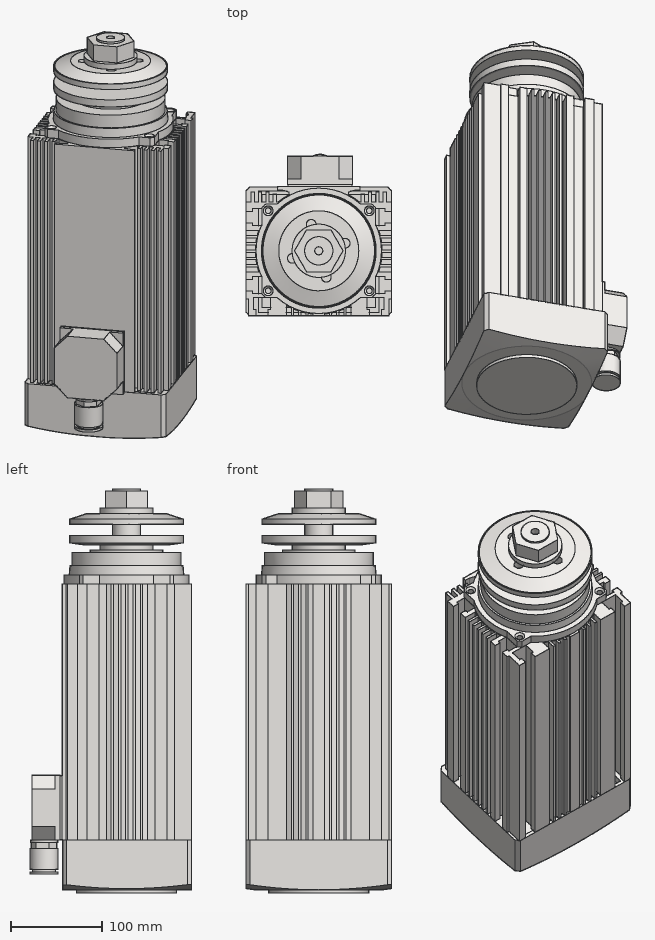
import cadquery as cq
import math


cover_top = 58.5
housing_top = 339.3
spindle_top = 443.5

cover_width = 160.0
cover_half_width = cover_width / 2
front_y = -71.5
cover_back_y = 70.0
cover_chamfer = 4.5
dome_radius = 523.5
dome_apex_z = -1.1
dome_flat_z = 3.75
foot_radius = 55.0
recess_half_width = 66.0
recess_front_y = -67.5
recess_back_y = 65.5
recess_depth = 9.0
cavity_half_width = 62.0
cavity_front_y = -62.0
cavity_back_y = 61.5
cavity_depth = 35.5

housing_half_width = 80.0
corner_half_width = 77.0
corner_step_y = -52.8
fin_base_y = 53.5
rib_floor_radius = 69.5
groove_width = 5.5
rib_pitch = 8.0
side_groove_count = 6
side_middle_y = -0.5
front_groove_count = 4
front_groove_first_x = 35.5
fin_count = 4
fin_width = 3.5
fin_first_x = 72.5
fin_tip_y = 64.8
inner_fin_tip_y = 62.0
land_half_width = 45.2
land_back_y = 70.5
land_edge_y = 66.5
land_slope_start_x = 40.0
land_web_half_width = 32.5
land_web_y = 64.5

side_slot_offset = 37.3
side_slot_mouth = 13.0
side_slot_cavity = 18.5
side_slot_lip_x = 72.7
side_slot_floor_x = 62.0
front_slot_middle_x = 62.0
front_slot_mouth = 13.5
front_slot_cavity = 18.5
front_slot_lip_y = -64.5
front_slot_floor_y = -51.5

flange_radius = 68.7
flange_top = 349.0
lug_half_width = 62.0
lug_half_depth = 51.5
lug_chamfer = 4.0
seat_base_radius = 63.0
seat_radius = 62.0
seat_top = 359.2
cap_radius = 60.0
cap_top = 374.0
boss_radius = 40.0
shield_top = 376.5
screw_hole_x = 55.5
screw_hole_y = 44.0
screw_hole_radius = 3.0
screw_sink_radius = 5.5
screw_sink_angle = 90

spindle_radius = 15.5
spindle_center_radius = 4.5
spindle_center_depth = 9.0
disc_radius = 62.5
disc_cone_radius = 61.0
hub_radius = 29.3
lower_cone_bottom = 382.0
lower_cone_top = 384.0
lower_disc_top = 392.5
lower_cone_radius = 46.0
upper_disc_bottom = 404.5
upper_cone_bottom = 410.5
upper_disc_top = 416.5
upper_cone_radius = 44.0
pin_hole_count = 4
pin_hole_circle = 30.0
pin_hole_radius = 5.5
pin_hole_angle = 16.0
nut_hex_bottom = 422.5
nut_top = 441.5
nut_across_flats = 46.0

box_middle_x = 1.5
box_width = 71.5
box_bottom = 58.0
box_inner_y = 72.7
box_step_y = 78.5
box_outer_y = 104.0
box_chamfer = 15.0
gasket_inset = 0.5

gland_y = 90.5
gland_radius = 15.5
gland_flange_radius = 15.0
gland_flange_bottom = 56.0
gland_hex_bottom = 49.2
gland_hex_radius = 14.0
gland_hex_turn = 23.0
gland_groove_top = 26.0
gland_groove_bottom = 23.5
gland_groove_radius = 13.0
gland_bottom = 21.0

SIDES = (-1, 1)


def block(x0, x1, y0, y1, z0, z1):
    """Box between two corners."""
    return cq.Workplane("XY").box(x1 - x0, y1 - y0, z1 - z0, centered=False).translate((x0, y0, z0))


def cylinder(radius, z0, z1):
    """Cylinder on the Z axis between two heights."""
    return cq.Workplane("XY").workplane(offset=z0).circle(radius).extrude(z1 - z0)


def turned(points):
    """Solid of revolution about Z from (radius, height) points."""
    return cq.Workplane("XZ").polyline(points).close().revolve(360, (0, 0, 0), (0, 1, 0))


def hexagon(corner_radius, z0, z1):
    """Hexagonal prism on the Z axis with two corners on the X axis."""
    return cq.Workplane("XY").workplane(offset=z0).polygon(6, 2 * corner_radius).extrude(z1 - z0)


def full_height(x0, x1, y0, y1):
    """Bar that runs the full height of the housing, with its X limits in either order."""
    return block(min(x0, x1), max(x0, x1), y0, y1, cover_top, housing_top)


def make_cover():
    shell = block(-cover_half_width, cover_half_width, front_y, cover_back_y, dome_flat_z, cover_top)
    shell = shell.edges("|Z").chamfer(cover_chamfer)

    dome = cq.Workplane("XY").sphere(dome_radius).translate((0, 0, dome_apex_z + dome_radius))
    shell = shell.intersect(dome)
    shell = shell.union(cylinder(foot_radius, 0, dome_flat_z))

    recess = block(
        -recess_half_width, recess_half_width, recess_front_y, recess_back_y,
        cover_top - recess_depth, cover_top,
    )
    cavity = block(
        -cavity_half_width, cavity_half_width, cavity_front_y, cavity_back_y,
        cover_top - cavity_depth, cover_top,
    )
    return shell.cut(recess).cut(cavity)


def make_land():
    """Mounting rail for the terminal box along the back of the housing."""
    right_edge = [
        (land_web_half_width, 0),
        (land_web_half_width, land_web_y),
        (land_slope_start_x, land_edge_y),
        (land_half_width, land_edge_y),
        (land_half_width, land_back_y),
    ]
    left_edge = [(-x, y) for x, y in reversed(right_edge)]
    outline = cq.Workplane("XY").workplane(offset=cover_top).polyline(right_edge + left_edge).close()
    return outline.extrude(housing_top - cover_top)


def make_grooves():
    """Cooling grooves of both sides and the front, with floors on a common cylinder."""
    first_y = side_middle_y - rib_pitch * (side_groove_count - 1) / 2 - groove_width / 2
    grooves = cq.Workplane("XY")
    for side in SIDES:
        for i in range(side_groove_count):
            y0 = first_y + i * rib_pitch
            y1 = y0 + groove_width
            grooves = grooves.add(full_height(side * fin_base_y, side * housing_half_width, y0, y1))
        for i in range(front_groove_count):
            outer_x = front_groove_first_x - i * rib_pitch
            inner_x = outer_x - groove_width
            grooves = grooves.add(full_height(side * outer_x, side * inner_x, front_y, -fin_base_y))
    return grooves.combine().cut(cylinder(rib_floor_radius, cover_top, housing_top))


def make_t_slots():
    """T-slots: two in each side and two in the front."""
    slots = cq.Workplane("XY")
    for side in SIDES:
        for end in SIDES:
            middle_y = side_middle_y + end * side_slot_offset
            slots = slots.add(full_height(
                side * side_slot_floor_x, side * housing_half_width,
                middle_y - side_slot_mouth / 2, middle_y + side_slot_mouth / 2,
            ))
            slots = slots.add(full_height(
                side * side_slot_floor_x, side * side_slot_lip_x,
                middle_y - side_slot_cavity / 2, middle_y + side_slot_cavity / 2,
            ))
        middle_x = side * front_slot_middle_x
        slots = slots.add(full_height(
            middle_x - front_slot_mouth / 2, middle_x + front_slot_mouth / 2, front_y, front_slot_floor_y,
        ))
        slots = slots.add(full_height(
            middle_x - front_slot_cavity / 2, middle_x + front_slot_cavity / 2,
            front_slot_lip_y, front_slot_floor_y,
        ))
    return slots.combine()


def make_housing():
    wide_part = full_height(-housing_half_width, housing_half_width, corner_step_y, fin_base_y)
    front_part = full_height(-corner_half_width, corner_half_width, front_y, corner_step_y)
    round_back = cylinder(rib_floor_radius, cover_top, housing_top).intersect(
        full_height(-rib_floor_radius, rib_floor_radius, 0, fin_tip_y)
    )
    housing = wide_part.union(front_part).union(round_back).union(make_land())
    for side in SIDES:
        for i in range(fin_count):
            middle_x = side * (fin_first_x - i * rib_pitch)
            tip_y = inner_fin_tip_y if i == fin_count - 1 else fin_tip_y
            housing = housing.union(full_height(
                middle_x - fin_width / 2, middle_x + fin_width / 2, fin_base_y - fin_width, tip_y,
            ))
    return housing.cut(make_grooves()).cut(make_t_slots())


def make_shield():
    lugs = block(-lug_half_width, lug_half_width, -lug_half_depth, lug_half_depth, housing_top, flange_top)
    shield = lugs.edges("|Z").chamfer(lug_chamfer)
    shield = shield.union(cylinder(flange_radius, housing_top, flange_top))
    screw_points = [(sx * screw_hole_x, sy * screw_hole_y) for sx in SIDES for sy in SIDES]
    shield = shield.faces(">Z").workplane(origin=(0, 0, flange_top)).pushPoints(screw_points)
    shield = shield.cskHole(2 * screw_hole_radius, 2 * screw_sink_radius, screw_sink_angle)
    bearing_cap = turned([
        (0, housing_top),
        (seat_radius, housing_top),
        (seat_base_radius, flange_top),
        (seat_radius, seat_top),
        (cap_radius, seat_top),
        (cap_radius, cap_top),
        (boss_radius, cap_top),
        (boss_radius, shield_top),
        (0, shield_top),
    ])
    return shield.union(bearing_cap)


def make_spindle():
    spindle = cylinder(spindle_radius, shield_top, spindle_top)
    return spindle.cut(cylinder(spindle_center_radius, spindle_top - spindle_center_depth, spindle_top))


def make_lower_disc():
    return turned([
        (spindle_radius, shield_top),
        (hub_radius, shield_top),
        (hub_radius, lower_cone_bottom),
        (lower_cone_radius, lower_cone_bottom),
        (disc_cone_radius, lower_cone_top),
        (disc_radius, lower_cone_top),
        (disc_radius, lower_disc_top),
        (spindle_radius, lower_disc_top),
    ])


def make_upper_disc():
    disc = turned([
        (spindle_radius, upper_disc_bottom),
        (disc_radius, upper_disc_bottom),
        (disc_radius, upper_cone_bottom),
        (disc_cone_radius, upper_cone_bottom),
        (upper_cone_radius, upper_disc_top),
        (spindle_radius, upper_disc_top),
    ])
    pin_hole = cylinder(pin_hole_radius, upper_disc_bottom, upper_disc_top).translate((pin_hole_circle, 0, 0))
    for i in range(pin_hole_count):
        angle = pin_hole_angle + i * 360 / pin_hole_count
        disc = disc.cut(pin_hole.rotate((0, 0, 0), (0, 0, 1), angle))
    return disc


def make_nut():
    corner_radius = nut_across_flats / math.sqrt(3)
    nut = hexagon(corner_radius, nut_hex_bottom, nut_top)
    nut = nut.union(cylinder(hub_radius, upper_disc_top, nut_hex_bottom))
    return nut.cut(cylinder(spindle_radius, upper_disc_top, nut_top))


def make_terminal_box():
    x0 = box_middle_x - box_width / 2
    x1 = x0 + box_width
    top = box_bottom + box_width
    base = block(x0, x1, box_inner_y, box_step_y, box_bottom, top)
    lid = block(x0, x1, box_step_y, box_outer_y, box_bottom, top).edges("|Y").chamfer(box_chamfer)
    return base.union(lid)


def make_gasket():
    half_width = box_width / 2 - gasket_inset
    return block(
        box_middle_x - half_width, box_middle_x + half_width, land_back_y, box_inner_y,
        box_bottom + gasket_inset, box_bottom + box_width - gasket_inset,
    )


def make_gland():
    body = turned([
        (0, gland_bottom),
        (gland_radius, gland_bottom),
        (gland_radius, gland_groove_bottom),
        (gland_groove_radius, gland_groove_bottom),
        (gland_groove_radius, gland_groove_top),
        (gland_radius, gland_groove_top),
        (gland_radius, gland_hex_bottom),
        (0, gland_hex_bottom),
    ])
    hex_part = hexagon(gland_hex_radius, gland_hex_bottom, gland_flange_bottom)
    hex_part = hex_part.rotate((0, 0, 0), (0, 0, 1), gland_hex_turn)
    gland = body.union(hex_part).union(cylinder(gland_flange_radius, gland_flange_bottom, box_bottom))
    return gland.translate((box_middle_x, gland_y, 0))


cover = make_cover()
housing = make_housing()
shield = make_shield()
spindle = make_spindle()
lower_disc = make_lower_disc()
upper_disc = make_upper_disc()
nut = make_nut()
gasket = make_gasket()
terminal_box = make_terminal_box()
gland = make_gland()

result = cq.Compound.makeCompound([
    cover.val(),
    housing.val(),
    shield.val(),
    spindle.val(),
    lower_disc.val(),
    upper_disc.val(),
    nut.val(),
    gasket.val(),
    terminal_box.val(),
    gland.val(),
])